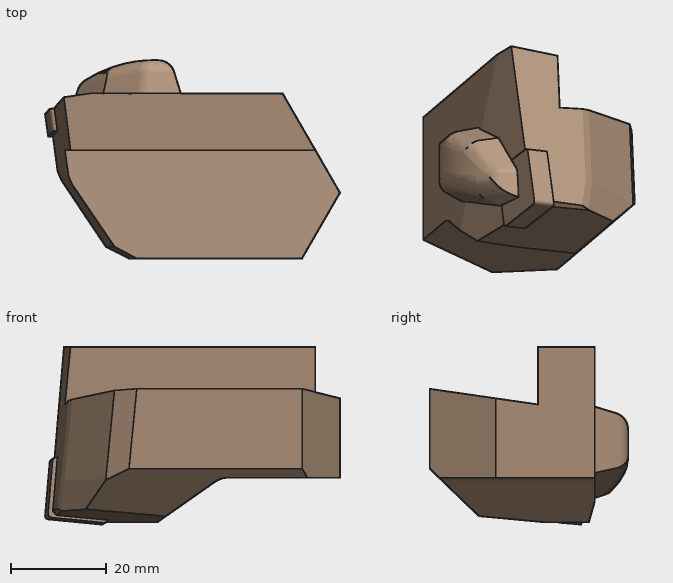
import cadquery as cq
import math

length = 61.7
top_z = 37.3
back_y = 34.55
rail_front_y = 22.65
floor_back_z = 25.25
floor_front_z = 28.5
tip_y = 13.75
end_angle = 30.0
overshoot = 12.35

end_lean = 0.0975
flank_slope = 0.126
flank_corner = (6.05, 17.15)
strip_corner = (6.8, 15.4)
side_corner = (15.4, 2.45)
front_corner = (20.05, 0.0)

relief_z = 9.4
relief_rise = 0.25
strip_relief_lean = 0.035

base_z = 0.55
shank_z = 9.9
heel_x = 23.45
heel_angle = 35.0
heel_radius = 5.0
chamfer_top_z = 11.8
chamfer_slope = 0.965
belly_point = (8.6, 8.65, 3.35)
belly_normal = (-0.079, -0.104, -1.0)
nose_chamfer_point = (3.0, 16.6, 3.35)
nose_chamfer_normal = (-1.0, -0.2, -1.0)

insert_side = 12.7
insert_thickness = 4.75
insert_corner_radius = 0.8
insert_corner = (-0.05, 30.1, 1.25)
insert_edge_direction = (1.0, 0.13, -0.098)
rake_normal = (-0.138, 1.0, -0.086)

clamp_base_y = 28.4
clamp_top_y = 41.5
clamp_draft = 17.0
clamp_shoulder = (19.6, 26.65)
clamp_nose = (4.6, 10.8)
clamp_right_x = 30.3
clamp_outline = [
    (clamp_right_x, clamp_shoulder[1]),
    clamp_shoulder,
    (10.8, 20.7),
    clamp_nose,
    (5.2, 3.7),
    (13.6, 3.8),
    (clamp_right_x, 9.55),
]
crown_start_x = 22.85
crown_radius = 26.55
shoulder_radius = 3.7
nose_radius = 2.45
rim_radius = 3.7


def beyond(point, normal):
    """Large block lying on the outer side of a plane."""
    size = 4 * length
    return cq.Workplane(cq.Plane(point, normal=normal)).rect(size, size).extrude(size)


def make_plan():
    """Upright prism with a pointed right-hand end."""
    end_slope = math.tan(math.radians(end_angle))
    front_x = length - tip_y * end_slope
    back_x = length - (back_y - tip_y) * end_slope
    outline = [(-overshoot, 0), (front_x, 0), (length, tip_y), (back_x, back_y), (-overshoot, back_y)]
    return cq.Workplane("XY", origin=(0, 0, base_z)).polyline(outline).close().extrude(top_z - base_z)


def make_leaning_end():
    """Prism that gives the cutting end its faces, extruded along the lean."""
    flank_x, flank_y = flank_corner
    flank_back_x = flank_x - (back_y - flank_y) * flank_slope
    right_x = length + overshoot
    outline = [
        (flank_back_x, back_y),
        flank_corner,
        strip_corner,
        side_corner,
        front_corner,
        (right_x, 0),
        (right_x, back_y),
    ]
    wire = cq.Wire.makePolygon([cq.Vector(x, y, top_z) for x, y in outline], close=True)
    lean_direction = cq.Vector(-end_lean, 0, -1)
    return cq.Workplane(cq.Solid.extrudeLinear(wire, [], lean_direction * top_z))


def make_cross_section():
    """Upright rail, sloping floor and chamfered lower front, extruded along X."""
    outline = [
        (0, chamfer_top_z),
        (0, floor_front_z),
        (rail_front_y, floor_back_z),
        (rail_front_y, top_z),
        (back_y, top_z),
        (back_y, 0),
        (chamfer_top_z / chamfer_slope, 0),
    ]
    start = (-overshoot, 0, 0)
    return cq.Workplane("YZ", origin=start).polyline(outline).close().extrude(length + 2 * overshoot)


def make_shank_relief():
    """Space below the shank, with a rounded run-out into the sloping heel."""
    bend_x = heel_x + (shank_z - base_z) / math.tan(math.radians(heel_angle))
    right_x = length + overshoot
    bend = cq.selectors.NearestToPointSelector((bend_x, back_y / 2, shank_z))
    return (
        cq.Workplane("XZ")
        .polyline([(heel_x, base_z), (bend_x, shank_z), (right_x, shank_z), (right_x, base_z)])
        .close()
        .extrude(-back_y)
        .edges(bend)
        .fillet(heel_radius)
    )


def leaning_point(corner, z):
    """Point at height z on the leaning edge that starts from a corner of the top outline."""
    x, y = corner
    return cq.Vector(x - end_lean * (top_z - z), y, z)


def make_end_reliefs():
    """Blocks that steepen the lower part of the strip face and of the side face."""
    strip_start = leaning_point(flank_corner, relief_z)
    strip_end = leaning_point(strip_corner, relief_z)
    side_end = leaning_point(side_corner, relief_z + relief_rise)
    strip_run = strip_end - strip_start
    side_run = side_end - strip_end
    strip_normal = cq.Vector(strip_run.y, -strip_run.x, strip_relief_lean * strip_run.Length)
    side_normal = cq.Vector(side_run.y, -side_run.x, 0)
    return beyond(strip_end, strip_normal), beyond(strip_end, side_normal)


def make_crown():
    """Envelope of the clamp's back: flat on the right, then curving down towards the nose."""
    center_y = clamp_top_y - crown_radius
    return (
        cq.Workplane("XY")
        .moveTo(crown_start_x, clamp_top_y)
        .radiusArc((crown_start_x - crown_radius, center_y), -crown_radius)
        .lineTo(clamp_right_x, center_y)
        .lineTo(clamp_right_x, clamp_top_y)
        .close()
        .extrude(top_z)
    )


def round_drafted_corner(body, corner, radius):
    """Round the drafted edge of the clamp that rises from one corner of its outline."""
    x, z = corner
    middle = (x, (clamp_base_y + clamp_top_y) / 2, z)
    return body.edges(cq.selectors.NearestToPointSelector(middle)).fillet(radius)


def make_clamp():
    """Drafted finger that reaches over the insert, with a curved and rounded back."""
    body = (
        cq.Workplane("XZ", origin=(0, clamp_base_y, 0))
        .polyline(clamp_outline)
        .close()
        .extrude(clamp_base_y - clamp_top_y, taper=clamp_draft)
        .intersect(make_crown())
    )
    body = round_drafted_corner(body, clamp_shoulder, shoulder_radius)
    body = round_drafted_corner(body, clamp_nose, nose_radius)

    middle_z = (clamp_shoulder[1] + clamp_outline[-1][1]) / 2
    flat_back = body.faces(">Y")
    middle_x = (clamp_nose[0] + crown_start_x) / 2
    curved_back = body.faces(cq.selectors.NearestToPointSelector((middle_x, clamp_top_y, middle_z)))
    seam = flat_back.edges("<X").val()
    back_edges = flat_back.edges().vals() + curved_back.edges().vals()
    rim = [edge for edge in back_edges if not edge.isSame(seam)]
    return cq.Workplane(body.val().fillet(rim_radius, rim))


def make_holder(insert_body):
    body = make_plan().intersect(make_leaning_end()).intersect(make_cross_section())
    body = body.cut(make_shank_relief())
    body = body.cut(beyond(insert_corner, rake_normal))
    body = body.cut(beyond(belly_point, belly_normal))
    body = body.cut(beyond(nose_chamfer_point, nose_chamfer_normal))
    for relief in make_end_reliefs():
        body = body.cut(relief)
    return body.union(make_clamp()).cut(insert_body).solids()


def make_insert():
    """Square plate with rounded corners, its rake face flush with the holder."""
    rake_plane = cq.Plane(insert_corner, xDir=insert_edge_direction, normal=rake_normal)
    return (
        cq.Workplane(rake_plane)
        .center(insert_side / 2, -insert_side / 2)
        .sketch()
        .rect(insert_side, insert_side)
        .vertices()
        .fillet(insert_corner_radius)
        .finalize()
        .extrude(-insert_thickness)
    )


insert = make_insert()
holder = make_holder(insert)

result = cq.Compound.makeCompound([holder.val(), insert.val()])